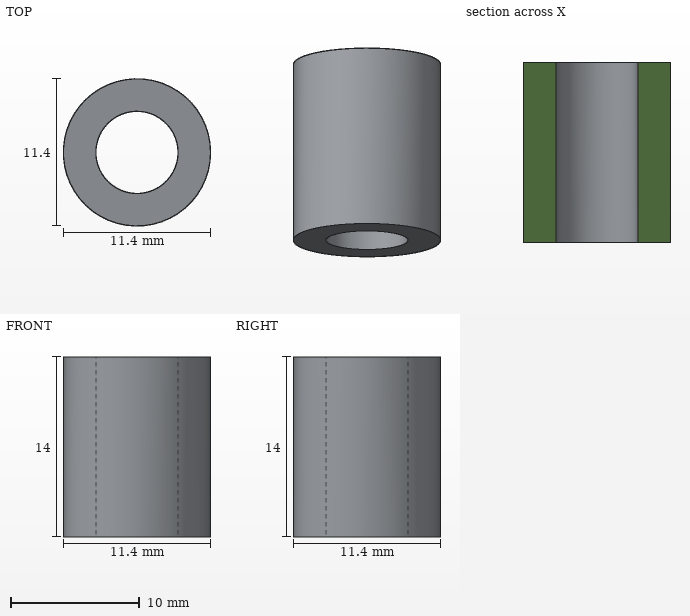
import cadquery as cq

length = 13.97
outer_diameter = 11.43
bore_diameter = 6.35

result = (
    cq.Workplane("XY")
    .circle(outer_diameter / 2)
    .circle(bore_diameter / 2)
    .extrude(length)
)